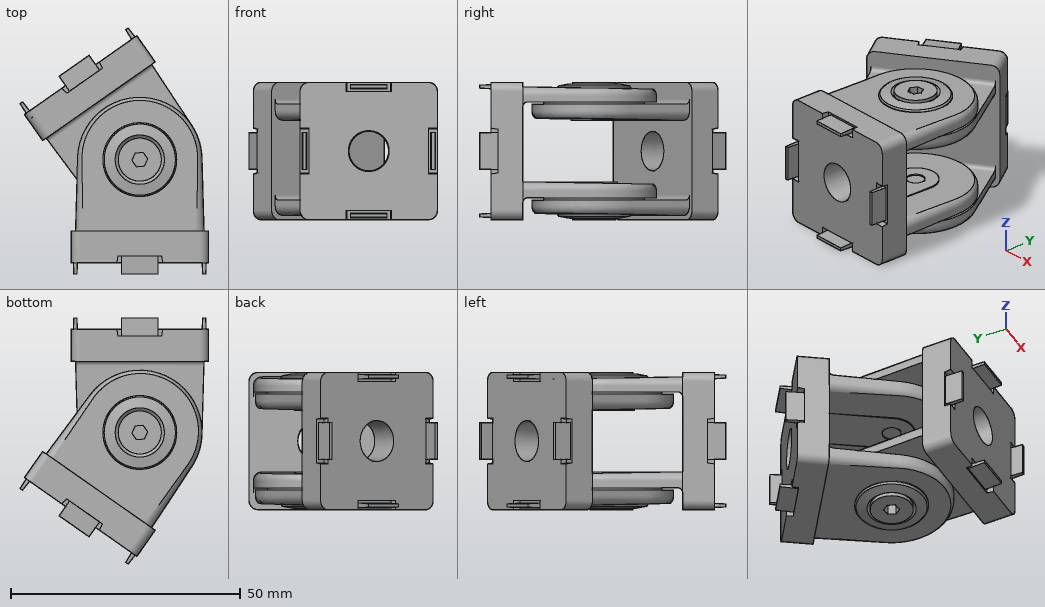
import cadquery as cq
import math

OVERALL_LENGTH = 53.7
BEND_ANGLE = 35.0

PLATE_SIZE = 30.0
PLATE_THICKNESS = 7.0
CORNER_RADIUS = 2.0
PIVOT_TO_PLATE = 15.5
BORE_INNER_DIAMETER = 8.6
BORE_OUTER_DIAMETER = 8.9

TAB_WIDTH = 8.0
TAB_ROOT_INSET = 0.45
TAB_TIP_INSET = 0.6
TAB_ROOT_THICKNESS = 1.1
TAB_TIP_THICKNESS = 0.7
RECESS_DEPTH = 1.5
RECESS_INSET = 2.0
RECESS_MOUTH_WIDTH = 10.0
RECESS_FLOOR_WIDTH = 9.5

ARM_RADIUS = 13.6
ARM_SIDE_TAPER = 1.6
ARM_FACE_DRAFT = 1.0
ARM_FILLET = 2.0
ROOT_FILLET = 1.0
INNER_ARM_BOTTOM = 6.7
INNER_ARM_TOP = 10.2
WASHER_THICKNESS = 0.5
OUTER_ARM_TOP = 14.0
PAD_WIDTH = 10.2

WASHER_DIAMETER = 22.0
SHANK_DIAMETER = 4.15
BOLT_END_RECESS = 0.25
SEAT_HEIGHT = 13.5
RING_DIAMETER = 16.1
RING_RIM_DIAMETER = 15.5
RING_RIM_BASE = 13.75
RING_RIM_TOP = 14.25
RING_CREST_DIAMETER = 10.75
RING_CREST = 14.65
RING_BORE_CHAMFER = 0.65
HEAD_DIAMETER = 9.4
HEX_ACROSS_FLATS = 3.0
HEX_DEPTH = 3.2
HEX_TURN = 5.0

HALF_PLATE = PLATE_SIZE / 2
PLATE_FRONT = -PIVOT_TO_PLATE
PLATE_BACK = PLATE_FRONT - PLATE_THICKNESS
RECESS_FLOOR = PLATE_BACK + RECESS_DEPTH
BEND = math.radians(BEND_ANGLE)
TAB_REACH = (OVERALL_LENGTH - (HALF_PLATE - TAB_TIP_INSET) * math.sin(BEND)) / (1 + math.cos(BEND))
TAB_TIP = -TAB_REACH
OUTER_ARM_BOTTOM = INNER_ARM_TOP + WASHER_THICKNESS
HEAD_TOP = HALF_PLATE


def recess():
    """Recess in the +Z side of the plate, narrowing toward its floor."""
    mouth = RECESS_MOUTH_WIDTH / 2
    floor = RECESS_FLOOR_WIDTH / 2
    outline = [
        (-mouth, PLATE_BACK),
        (mouth, PLATE_BACK),
        (floor, RECESS_FLOOR),
        (-floor, RECESS_FLOOR),
    ]
    return (
        cq.Workplane("XY", origin=(0, 0, HALF_PLATE - RECESS_INSET))
        .polyline(outline).close()
        .extrude(RECESS_INSET)
    )


def tab():
    """Tapered tab that stands on the recess floor at the +Z side of the plate."""
    root_z = HALF_PLATE - TAB_ROOT_INSET
    tip_z = HALF_PLATE - TAB_TIP_INSET
    section = [
        (RECESS_FLOOR, root_z),
        (TAB_TIP, tip_z),
        (TAB_TIP, tip_z - TAB_TIP_THICKNESS),
        (RECESS_FLOOR, root_z - TAB_ROOT_THICKNESS),
    ]
    return cq.Workplane("YZ").polyline(section).close().extrude(TAB_WIDTH / 2, both=True)


def plate_bore():
    """Slightly conical bore through the middle of the plate."""
    profile = [
        (0, PLATE_FRONT),
        (BORE_INNER_DIAMETER / 2, PLATE_FRONT),
        (BORE_OUTER_DIAMETER / 2, PLATE_BACK),
        (0, PLATE_BACK),
    ]
    return cq.Workplane("XY").polyline(profile).close().revolve(360, (0, 0, 0), (0, 1, 0))


def plate():
    block = (
        cq.Workplane("XZ", origin=(0, PLATE_FRONT, 0))
        .rect(PLATE_SIZE, PLATE_SIZE)
        .extrude(PLATE_THICKNESS)
        .edges("|Y").fillet(CORNER_RADIUS)
        .cut(plate_bore())
    )
    for side in range(4):
        turn = 90 * side
        block = block.cut(recess().rotate((0, 0, 0), (0, 1, 0), turn))
        block = block.union(tab().rotate((0, 0, 0), (0, 1, 0), turn))
    return block


def arm_prism(bottom, top):
    """Arm outline, a round end with tangent tapered sides, between two heights."""
    taper = math.radians(ARM_SIDE_TAPER)
    tangent_x = ARM_RADIUS * math.cos(taper)
    tangent_y = ARM_RADIUS * math.sin(taper)
    root_x = tangent_x + (PIVOT_TO_PLATE + tangent_y) * math.tan(taper)
    return (
        cq.Workplane("XY", origin=(0, 0, bottom))
        .moveTo(-root_x, PLATE_FRONT)
        .lineTo(-tangent_x, tangent_y)
        .threePointArc((0, ARM_RADIUS), (tangent_x, tangent_y))
        .lineTo(root_x, PLATE_FRONT)
        .close()
        .extrude(top - bottom)
    )


def draft_wedge(face_height):
    """Wedge that tilts the face at face_height downward from the plate to the arm end."""
    length = PIVOT_TO_PLATE + 2 * ARM_RADIUS
    drop = length * math.tan(math.radians(ARM_FACE_DRAFT))
    far_y = PLATE_FRONT + length
    section = [(PLATE_FRONT, face_height), (far_y, face_height), (far_y, face_height - drop)]
    return cq.Workplane("YZ").polyline(section).close().extrude(HALF_PLATE, both=True)


def root_fillet(mating_height):
    """Concave fillet between the plate and the mating face, which looks toward -Z."""
    y_end = PLATE_FRONT + ROOT_FILLET
    z_end = mating_height - ROOT_FILLET
    bulge = ROOT_FILLET * (1 - math.sqrt(0.5))
    strip = (
        cq.Workplane("YZ")
        .moveTo(PLATE_FRONT, mating_height)
        .lineTo(y_end, mating_height)
        .threePointArc((PLATE_FRONT + bulge, mating_height - bulge), (PLATE_FRONT, z_end))
        .close()
        .extrude(HALF_PLATE, both=True)
    )
    return strip.intersect(arm_prism(z_end, mating_height))


def bolt_hole():
    return cq.Workplane("XY").circle(SHANK_DIAMETER / 2).extrude(HALF_PLATE)


def bolt_pad(bottom, top):
    """U-shaped pad around the bolt that runs to the plate."""
    round_end = cq.Workplane("XY", origin=(0, 0, bottom)).circle(PAD_WIDTH / 2).extrude(top - bottom)
    neck = (
        cq.Workplane("XY", origin=(0, PLATE_FRONT / 2, bottom))
        .rect(PAD_WIDTH, PIVOT_TO_PLATE)
        .extrude(top - bottom)
    )
    return round_end.union(neck)


def rounded_arm(mating_height, face_height):
    """Arm whose upper rim is rounded everywhere except at the plate."""
    return (
        arm_prism(mating_height, face_height)
        .faces(">Z").edges("not(<Y)").fillet(ARM_FILLET)
        .union(root_fillet(mating_height))
    )


def outer_arm():
    """Arm above the washer, pocketed for the cone ring."""
    return (
        rounded_arm(OUTER_ARM_BOTTOM, OUTER_ARM_TOP)
        .cut(draft_wedge(OUTER_ARM_TOP))
        .cut(bolt_hole())
        .cut(cq.Workplane("XY", origin=(0, 0, SEAT_HEIGHT)).circle(RING_DIAMETER / 2).extrude(HALF_PLATE))
    )


def inner_arm():
    """Arm below the washer, placed at the -Z joint with its drafted face looking toward +Z."""
    wedge = draft_wedge(-INNER_ARM_BOTTOM)
    wedge = wedge.cut(bolt_pad(-INNER_ARM_TOP, -INNER_ARM_BOTTOM))
    hole = bolt_hole().mirror("XY")
    return rounded_arm(-INNER_ARM_TOP, -INNER_ARM_BOTTOM).cut(wedge).cut(hole)


def hinge_half():
    """Plate at -Y with the outer arm at +Z and the inner arm at -Z."""
    return plate().union(outer_arm()).union(inner_arm())


def washer():
    return (
        cq.Workplane("XY", origin=(0, 0, INNER_ARM_TOP))
        .circle(WASHER_DIAMETER / 2)
        .circle(SHANK_DIAMETER / 2)
        .extrude(WASHER_THICKNESS)
    )


def cone_ring():
    """Conical ring seated in the outer arm; its beveled bore leaves a groove around the bolt head."""
    profile = [
        (HEAD_DIAMETER / 2, SEAT_HEIGHT),
        (RING_DIAMETER / 2, SEAT_HEIGHT),
        (RING_DIAMETER / 2, RING_RIM_BASE),
        (RING_RIM_DIAMETER / 2, RING_RIM_TOP),
        (RING_CREST_DIAMETER / 2, RING_CREST),
        (HEAD_DIAMETER / 2, RING_CREST - RING_BORE_CHAMFER),
    ]
    return cq.Workplane("XZ").polyline(profile).close().revolve(360, (0, 0, 0), (0, 1, 0))


def bolt():
    """Pivot bolt with a hexagonal socket; its end stops short of the inner arm's pad."""
    shank_end = INNER_ARM_BOTTOM + BOLT_END_RECESS
    profile = [
        (0, shank_end),
        (SHANK_DIAMETER / 2, shank_end),
        (SHANK_DIAMETER / 2, SEAT_HEIGHT),
        (HEAD_DIAMETER / 2, SEAT_HEIGHT),
        (HEAD_DIAMETER / 2, HEAD_TOP),
        (0, HEAD_TOP),
    ]
    body = cq.Workplane("XZ").polyline(profile).close().revolve(360, (0, 0, 0), (0, 1, 0))
    socket = (
        cq.Workplane("XY", origin=(0, 0, HEAD_TOP - HEX_DEPTH))
        .polygon(6, HEX_ACROSS_FLATS / math.cos(math.radians(30)))
        .extrude(HEX_DEPTH)
        .rotate((0, 0, 0), (0, 0, 1), HEX_TURN)
    )
    return body.cut(socket)


first_half = hinge_half()
second_half = hinge_half().rotate((0, 0, 0), (0, 1, 0), 180).rotate((0, 0, 0), (0, 0, 1), BEND_ANGLE - 180)

hardware = []
for joint_turn in (0, 180):
    for piece in (washer(), cone_ring(), bolt()):
        hardware.append(piece.rotate((0, 0, 0), (0, 1, 0), joint_turn).val())

result = cq.Compound.makeCompound([first_half.val(), second_half.val(), *hardware])